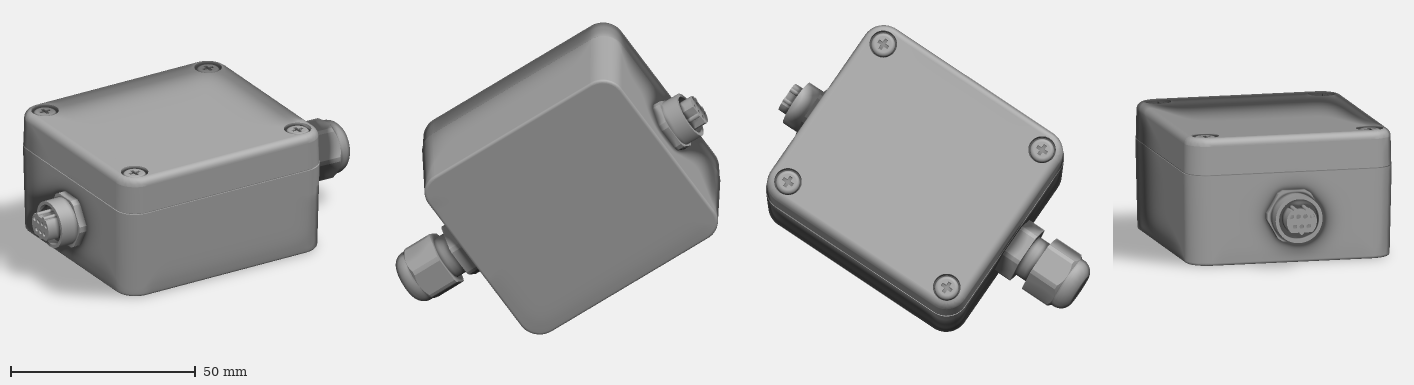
import cadquery as cq
import math

BOX_WIDTH = 57.9
BOX_LENGTH = 63.9
BOX_HEIGHT = 35.0
PARTING_HEIGHT = 24.9
CORNER_RADIUS = 6.0
LID_STEP = 0.1
SEAM_GROOVE_HEIGHT = 0.3
SEAM_GROOVE_DEPTH = 0.3
DRAFT_ANGLE = 1.1
LID_EDGE_RADIUS = 2.1
FLOOR_EDGE_RADIUS = 0.8

SCREW_SPACING_X = 45.9
SCREW_SPACING_Y = 51.9
RECESS_DIAMETER = 7.5
RECESS_DEPTH = 1.9
HEAD_DIAMETER = 6.5
HEAD_HEIGHT = 1.6
HEAD_FLAT_DIAMETER = 4.5
CROSS_LENGTH = 3.25
CROSS_WIDTH = 1.0
CROSS_DEPTH = 0.8

GLAND_HEIGHT = 14.6
GLAND_ACROSS_FLATS = 15.0
GLAND_CORNER_DIAMETER = 16.6
GLAND_NECK_DIAMETER = 12.0
GLAND_BODY_END = 5.0
GLAND_CAP_START = 8.9
GLAND_CONE_START = 17.0
GLAND_CONE_END = 17.9
GLAND_DOME_START = 18.5
GLAND_END = 22.0
GLAND_DOME_DIAMETER = 14.9
GLAND_END_DIAMETER = 9.9

CONNECTOR_HEIGHT = 13.3
NUT_ACROSS_FLATS = 14.0
NUT_CORNER_CHAMFER = 1.0
NUT_THICKNESS = 2.2
SHELL_DIAMETER = 13.1
SHELL_BORE = 11.2
SHELL_END = 7.1
SHELL_DEPTH = 2.4
CORE_END = 10.0
CORE_DIAMETER = 8.4
CORE_FLATS = 6.0
KEY_DIAMETER = 1.2
KEY_OFFSET = 1.6
PIN_HOLE_DIAMETER = 1.2
PIN_HOLE_DEPTH = 0.5
PIN_PITCH = 1.9
PIN_ROW_OFFSET = 1.39

DRAFT = math.radians(DRAFT_ANGLE)
RECESS_FLOOR = BOX_HEIGHT - RECESS_DEPTH


def wall_plane(height, side):
    """Plane on the outer face of the base wall at +Y (side 1) or -Y (side -1), facing outwards."""
    wall_y = BOX_LENGTH / 2 - (PARTING_HEIGHT - height) * math.tan(DRAFT)
    return cq.Plane(
        origin=(0, side * wall_y, height),
        xDir=(1, 0, 0),
        normal=(0, side * math.cos(DRAFT), -math.sin(DRAFT)),
    )


def hexagon(plane, across_flats, length):
    """Hexagonal prism with a flat facing up and a flat facing down."""
    across_corners = across_flats / math.cos(math.pi / 6)
    return cq.Workplane(plane).polygon(6, across_corners).extrude(length)


def drafted_block(start, end, inset):
    """Rounded block, inset from the base outline at its start, that tapers towards its end."""
    return (
        cq.Workplane("XY", origin=(0, 0, start))
        .rect(BOX_WIDTH - 2 * inset, BOX_LENGTH - 2 * inset)
        .extrude(end - start, taper=DRAFT_ANGLE)
        .edges("not #Z")
        .fillet(CORNER_RADIUS)
    )


def make_base():
    block = drafted_block(PARTING_HEIGHT, 0, 0)
    return block.faces("<Z").edges().fillet(FLOOR_EDGE_RADIUS)


def screw_points(height):
    """Workplane at the given height with a point on each of the four screw axes."""
    return cq.Workplane("XY", origin=(0, 0, height)).rect(
        SCREW_SPACING_X, SCREW_SPACING_Y, forConstruction=True
    ).vertices()


def make_lid():
    """Cover with a round upper edge, four screw recesses and a groove above the base."""
    wall_start = PARTING_HEIGHT + SEAM_GROOVE_HEIGHT
    cover = drafted_block(wall_start, BOX_HEIGHT, LID_STEP)
    cover = cover.faces(">Z").edges().fillet(LID_EDGE_RADIUS)
    seat = drafted_block(wall_start, PARTING_HEIGHT, LID_STEP + SEAM_GROOVE_DEPTH)
    recesses = screw_points(RECESS_FLOOR).circle(RECESS_DIAMETER / 2).extrude(RECESS_DEPTH)
    return cover.union(seat).cut(recesses)


def make_screw(x, y):
    """Round-edged screw head with a cross recess, resting on the recess floor."""
    head = (
        cq.Workplane("XY", origin=(x, y, RECESS_FLOOR))
        .circle(HEAD_DIAMETER / 2)
        .extrude(HEAD_HEIGHT)
        .faces(">Z")
        .edges()
        .fillet((HEAD_DIAMETER - HEAD_FLAT_DIAMETER) / 2)
    )
    head_top = cq.Workplane("XY", origin=(x, y, RECESS_FLOOR + HEAD_HEIGHT))
    slot_along_x = head_top.rect(CROSS_LENGTH, CROSS_WIDTH).extrude(-CROSS_DEPTH)
    slot_along_y = head_top.rect(CROSS_WIDTH, CROSS_LENGTH).extrude(-CROSS_DEPTH)
    return head.cut(slot_along_x).cut(slot_along_y)


def make_gland():
    """Cable gland: hexagonal body, round neck and hexagonal cap with a domed end."""
    plane = wall_plane(GLAND_HEIGHT, 1)
    corner_radius = GLAND_CORNER_DIAMETER / 2
    neck_radius = GLAND_NECK_DIAMETER / 2
    dome_radius = GLAND_DOME_DIAMETER / 2
    turned = (
        cq.Workplane(cq.Plane(origin=plane.origin, xDir=plane.xDir, normal=plane.yDir * -1))
        .polyline([
            (0, 0),
            (corner_radius, 0),
            (corner_radius, GLAND_BODY_END),
            (neck_radius, GLAND_BODY_END),
            (neck_radius, GLAND_CAP_START),
            (corner_radius, GLAND_CAP_START),
            (corner_radius, GLAND_CONE_START),
            (dome_radius, GLAND_CONE_END),
        ])
        .lineTo(dome_radius, GLAND_DOME_START)
        .tangentArcPoint((GLAND_END_DIAMETER / 2, GLAND_END), relative=False)
        .lineTo(0, GLAND_END)
        .close()
        .revolve(360, (0, 0, 0), (0, 1, 0))
    )
    return turned.intersect(hexagon(plane, GLAND_ACROSS_FLATS, GLAND_END))


def make_core(plane):
    """Flat-sided contact carrier with two keys above, one below and seven pin holes."""
    core = (
        cq.Workplane(plane)
        .circle(CORE_DIAMETER / 2)
        .extrude(CORE_END)
        .intersect(cq.Workplane(plane).rect(CORE_DIAMETER, CORE_FLATS).extrude(CORE_END))
    )
    key_centres = [
        (-KEY_OFFSET, CORE_FLATS / 2),
        (KEY_OFFSET, CORE_FLATS / 2),
        (0, -CORE_FLATS / 2),
    ]
    keys = cq.Workplane(plane).pushPoints(key_centres).circle(KEY_DIAMETER / 2).extrude(CORE_END)
    upper_row = [((i - 1.5) * PIN_PITCH, PIN_ROW_OFFSET) for i in range(4)]
    lower_row = [((i - 1) * PIN_PITCH, -PIN_ROW_OFFSET) for i in range(3)]
    pin_holes = (
        cq.Workplane(plane)
        .workplane(offset=CORE_END)
        .pushPoints(upper_row + lower_row)
        .circle(PIN_HOLE_DIAMETER / 2)
        .extrude(-PIN_HOLE_DEPTH)
    )
    return core.union(keys).cut(pin_holes)


def make_connector():
    """Socket with a hexagonal nut, a round shell and the contact carrier inside the shell."""
    plane = wall_plane(CONNECTOR_HEIGHT, -1)
    prism = hexagon(plane, NUT_ACROSS_FLATS, NUT_THICKNESS)
    nut = prism.edges(cq.selectors.ParallelDirSelector(plane.zDir)).chamfer(NUT_CORNER_CHAMFER)
    shell = (
        cq.Workplane(plane)
        .circle(SHELL_DIAMETER / 2)
        .extrude(SHELL_END)
        .faces(cq.selectors.DirectionMinMaxSelector(plane.zDir))
        .workplane()
        .circle(SHELL_BORE / 2)
        .cutBlind(-SHELL_DEPTH)
    )
    return nut.union(shell).union(make_core(plane))


base = make_base()
lid = make_lid()
screws = [make_screw(point.X, point.Y) for point in screw_points(0).vals()]
gland = make_gland()
connector = make_connector()

result = cq.Compound.makeCompound([
    *base.solids().vals(),
    *lid.solids().vals(),
    *[screw.solids().val() for screw in screws],
    *gland.solids().vals(),
    *connector.solids().vals(),
])